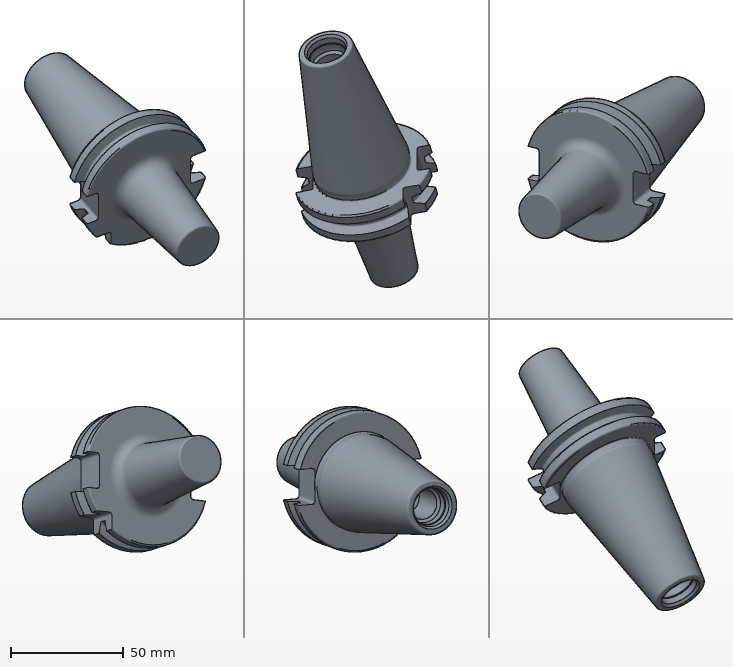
import cadquery as cq
import math

total_length = 133.2

gauge_radius = 22.3
gauge_x = 68.4
taper_slope = 7 / 48
taper_end_x = 67.5
neck_start_x = 68.8
neck_radius = 22.0
neck_flare = 0.8
small_end_round = 0.9

flange_diameter = 63.5
flange_radius = flange_diameter / 2
flange_start_x = 71.7
flange_end_x = 87.4
flange_edge_round = 0.8
groove_center_x = 79.5
groove_half_mouth = 3.3
groove_half_floor = 1.6
groove_floor_radius = 27.8
groove_floor_round = 0.5

nose_start_x = 91.8
nose_start_radius = 14.4
nose_end_radius = 10.9
nose_edge_round = 0.9

slot_half_height = 8.1
slot_floor_front = 24.9
slot_floor_back = 22.7
notch_y = 18.4
notch_z = 18.3
cut_corner_round = 1.5
cutter_reach = flange_radius + 1.3

mouth_radius = 9.7
mouth_depth = 1.3
lead_in_radius = 8.8
lead_in_depth = 4.1
pilot_radius = 8.5
pilot_depth = 4.5
thread_radius = 8.3
thread_depth = 7.3
relief_radius = 8.1
relief_depth = 8.3
drill_start_x = 9.3
drill_radius = 6.8
drill_depth = 26.6
drill_half_angle = math.radians(59)


def turned_body():
    """Revolve the taper, neck, flange and nose about the X axis."""
    small_radius = gauge_radius - gauge_x * taper_slope
    taper_end_radius = gauge_radius - (gauge_x - taper_end_x) * taper_slope
    nose_angle = math.atan2(nose_start_radius - nose_end_radius, total_length - nose_start_x)

    nose_blend_radius = (nose_start_x - flange_end_x) / (1 - math.sin(nose_angle))
    blend_center_x = nose_start_x + nose_blend_radius * math.sin(nose_angle)
    blend_center_r = nose_start_radius + nose_blend_radius * math.cos(nose_angle)
    middle_angle = 5 * math.pi / 4 - nose_angle / 2
    blend_middle = (
        blend_center_x + nose_blend_radius * math.cos(middle_angle),
        blend_center_r + nose_blend_radius * math.sin(middle_angle),
    )

    profile = (
        cq.Workplane("XY")
        .moveTo(0, 0)
        .lineTo(0, small_radius)
        .lineTo(taper_end_x, taper_end_radius)
        .lineTo(neck_start_x, neck_radius)
        .lineTo(flange_start_x - neck_flare, neck_radius)
        .radiusArc((flange_start_x, neck_radius + neck_flare), -neck_flare)
        .lineTo(flange_start_x, flange_radius - flange_edge_round)
        .radiusArc((flange_start_x + flange_edge_round, flange_radius), flange_edge_round)
        .lineTo(groove_center_x - groove_half_mouth, flange_radius)
        .lineTo(groove_center_x - groove_half_floor, groove_floor_radius)
        .lineTo(groove_center_x + groove_half_floor, groove_floor_radius)
        .lineTo(groove_center_x + groove_half_mouth, flange_radius)
        .lineTo(flange_end_x - flange_edge_round, flange_radius)
        .radiusArc((flange_end_x, flange_radius - flange_edge_round), flange_edge_round)
        .lineTo(flange_end_x, blend_center_r)
        .threePointArc(blend_middle, (nose_start_x, nose_start_radius))
        .lineTo(total_length, nose_end_radius)
        .lineTo(total_length, 0)
        .close()
    )
    body = profile.revolve(360, (0, 0, 0), (1, 0, 0))
    body = body.faces("<X").edges().fillet(small_end_round)
    selection_half_width = (groove_half_floor + groove_half_mouth) / 2
    groove_box = cq.selectors.BoxSelector(
        (groove_center_x - selection_half_width, -flange_radius, -flange_radius),
        (groove_center_x + selection_half_width, flange_radius, flange_radius),
    )
    body = body.edges(groove_box).edges("%CIRCLE").fillet(groove_floor_round)
    return body.faces(">X").edges().fillet(nose_edge_round)


def flange_cutter(y_min, y_max, z_min, z_max):
    """Box spanning the flange thickness only."""
    width = flange_end_x - flange_start_x
    return cq.Workplane("XY").box(width, y_max - y_min, z_max - z_min, centered=False).translate(
        (flange_start_x, y_min, z_min)
    )


def drive_slots():
    """Two opposed slots of unequal depth with rounded inner corners."""
    front = flange_cutter(-cutter_reach, -slot_floor_front, -slot_half_height, slot_half_height)
    back = flange_cutter(slot_floor_back, cutter_reach, -slot_half_height, slot_half_height)
    front = front.edges("|X and >Y").fillet(cut_corner_round)
    back = back.edges("|X and <Y").fillet(cut_corner_round)
    return front.union(back)


def orientation_notch():
    """Corner notch low on the -Y side of the flange."""
    notch = flange_cutter(-cutter_reach, -notch_y, -cutter_reach, -notch_z)
    return notch.edges("|X and >Y and >Z").fillet(cut_corner_round)


def pull_stud_bore():
    """Stepped blind bore with a conical drill end."""
    tip_x = drill_depth + drill_radius / math.tan(drill_half_angle)
    profile = (
        cq.Workplane("XY")
        .moveTo(0, 0)
        .lineTo(0, mouth_radius)
        .lineTo(mouth_depth, lead_in_radius)
        .lineTo(lead_in_depth, pilot_radius)
        .lineTo(pilot_depth, thread_radius)
        .lineTo(thread_depth, thread_radius)
        .lineTo(relief_depth, relief_radius)
        .lineTo(drill_start_x, drill_radius)
        .lineTo(drill_depth, drill_radius)
        .lineTo(tip_x, 0)
        .close()
    )
    return profile.revolve(360, (0, 0, 0), (1, 0, 0))


result = turned_body().cut(drive_slots()).cut(orientation_notch()).cut(pull_stud_bore())